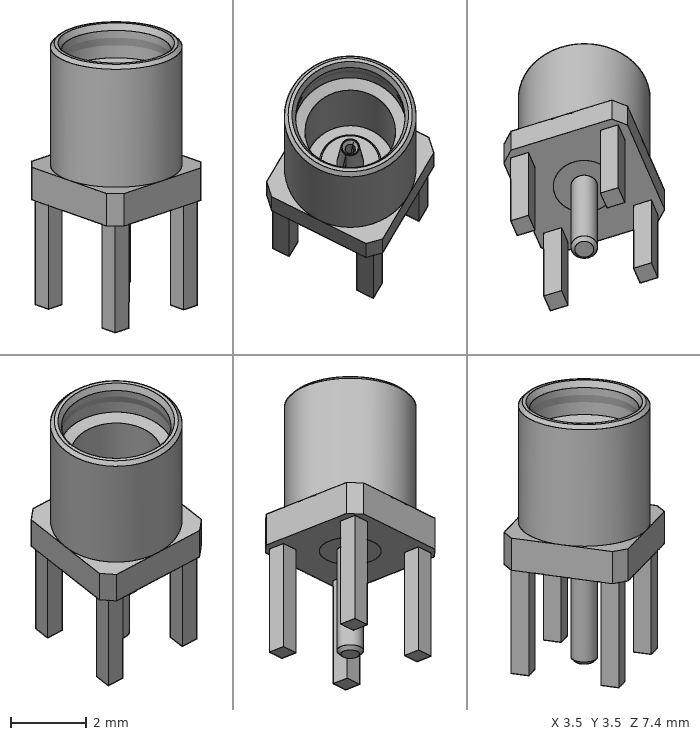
import cadquery as cq
import math

total_height = 7.4
body_width = 3.5
post_length = 3.05
base_height = 0.92
corner_chamfer = 0.325
edge_chamfer = 0.1

post_side = 0.5
post_pitch = 2.54

mouth_radius = 1.55
lip_radius = 1.45
groove_radius = 1.5
bore_radius = 1.2
lip_depth = 0.18
undercut_depth = 0.39
groove_depth = 0.62
seat_depth = 0.97
bore_depth = 1.095

insulator_radius = 0.82
insulator_chamfer = 0.045
insulator_rise = 0.295

contact_radius = 0.355
finger_height = 1.0
finger_tip_radius = 0.245
socket_mouth_radius = 0.215
socket_radius = 0.13
lead_in_depth = 0.11
drill_point_angle = 118.0
slot_width = 0.13
slot_apex_depth = 0.07

base_bottom = post_length
socket_floor = base_bottom + base_height
insulator_top = socket_floor + insulator_rise
contact_top = insulator_top + finger_height
drill_point_height = socket_radius / math.tan(math.radians(drill_point_angle / 2))


def revolve_profile(points):
    """Solid of revolution about Z from a closed (radius, height) outline."""
    return cq.Workplane("XZ").polyline(points).close().revolve(360, (0, 0), (0, 1))


def make_base():
    """Square base with chamfered vertical corners."""
    return (
        cq.Workplane("XY", origin=(0, 0, base_bottom))
        .rect(body_width, body_width)
        .extrude(base_height)
        .edges("|Z")
        .chamfer(corner_chamfer)
    )


def make_barrel():
    """Round barrel standing on the base, with a chamfered rim."""
    return (
        cq.Workplane("XY", origin=(0, 0, socket_floor))
        .circle(body_width / 2)
        .extrude(total_height - socket_floor)
        .faces(">Z")
        .edges()
        .chamfer(edge_chamfer)
    )


def make_posts():
    """Four square solder posts below the base."""
    return (
        cq.Workplane("XY")
        .rect(post_pitch, post_pitch, forConstruction=True)
        .vertices()
        .rect(post_side, post_side)
        .extrude(post_length)
    )


def make_socket_cavity():
    """Bore with a lead-in, a retaining lip, an undercut groove and a conical seat."""
    return revolve_profile([
        (0, total_height),
        (mouth_radius, total_height),
        (lip_radius, total_height - lip_depth),
        (lip_radius, total_height - undercut_depth),
        (groove_radius, total_height - groove_depth),
        (groove_radius, total_height - seat_depth),
        (bore_radius, total_height - bore_depth),
        (bore_radius, socket_floor),
        (0, socket_floor),
    ])


def make_insulator_hole():
    """Through hole in the base that the insulator fills."""
    return cq.Workplane("XY", origin=(0, 0, base_bottom)).circle(insulator_radius).extrude(base_height)


def make_housing():
    """Base, barrel and posts in one piece, bored for the socket and the insulator."""
    outside = make_base().union(make_barrel()).union(make_posts())
    return outside.cut(make_socket_cavity()).cut(make_insulator_hole())


def make_insulator():
    """Bushing through the base, chamfered on its upper outer edge."""
    bushing = (
        cq.Workplane("XY", origin=(0, 0, base_bottom))
        .circle(insulator_radius)
        .extrude(insulator_top - base_bottom)
        .faces(">Z")
        .edges()
        .chamfer(insulator_chamfer)
    )
    hole = cq.Workplane("XY").circle(contact_radius).extrude(total_height)
    return bushing.cut(hole)


def make_contact_socket():
    """Blind hole in the contact with a conical lead-in and a drill point."""
    return revolve_profile([
        (0, contact_top),
        (socket_mouth_radius, contact_top),
        (socket_radius, contact_top - lead_in_depth),
        (socket_radius, insulator_top),
        (0, insulator_top - drill_point_height),
    ])


def make_contact_slot():
    """Triangular slot along Y that parts two fingers and closes just below their tips."""
    outline = [
        (-slot_width / 2, insulator_top),
        (slot_width / 2, insulator_top),
        (0, contact_top - slot_apex_depth),
    ]
    return cq.Workplane("XZ").polyline(outline).close().extrude(contact_radius, both=True)


def make_contact():
    """Round pin with a chamfered tail and a tapered, slotted socket."""
    pin = revolve_profile([
        (0, 0),
        (contact_radius - edge_chamfer, 0),
        (contact_radius, edge_chamfer),
        (contact_radius, insulator_top),
        (finger_tip_radius, contact_top),
        (0, contact_top),
    ])
    return pin.cut(make_contact_socket()).cut(make_contact_slot())


housing = make_housing()
insulator = make_insulator()
contact = make_contact()

result = cq.Compound.makeCompound([housing.val(), insulator.val(), contact.val()])